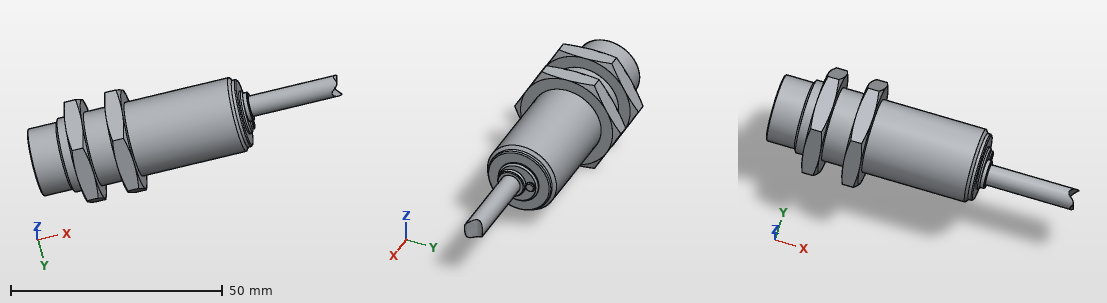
import cadquery as cq
import math

total_length = 74.75
body_diameter = 18.0
nose_diameter = 16.4
nose_length = 7.0
front_bevel_length = 0.5
nose_edge_chamfer = 0.2
rear_bevel_start = 49.4
rear_bevel_length = 0.7
cap_end = 51.1
cap_edge_chamfer = 0.3

disk_diameter = 10.5
disk_end = 51.95
disk_edge_chamfer = 0.45

cable_diameter = 5.0
cable_offset_y = -1.3
collar_diameter = 6.95
collar_end = 53.1
collar_edge_chamfer = 0.2

lamp_diameter = 2.4
lamp_center_y = 3.45
lamp_end = 52.55
lamp_edge_chamfer = 0.2

nut_width = 24.0
nut_thickness = 4.0
nut_starts = (10.0, 19.95)
nut_chamfer_angle = 20.0


def cylinder_x(diameter, start, end, center_y=0.0):
    """Solid cylinder parallel to X."""
    plane = cq.Workplane("YZ", origin=(start, center_y, 0))
    return plane.circle(diameter / 2).extrude(end - start)


def revolve_about_x(points):
    """Solid of revolution from a closed (x, radius) outline."""
    return cq.Workplane("XY").polyline(points).close().revolve(360, (0, 0, 0), (1, 0, 0))


def make_body():
    """Stepped round body with a chamfered rear edge on the cap."""
    body_radius = body_diameter / 2
    nose_radius = nose_diameter / 2
    body = revolve_about_x([
        (0, 0),
        (0, nose_radius - nose_edge_chamfer),
        (nose_edge_chamfer, nose_radius),
        (nose_length, nose_radius),
        (nose_length + front_bevel_length, body_radius),
        (rear_bevel_start, body_radius),
        (rear_bevel_start + rear_bevel_length, nose_radius),
        (cap_end, nose_radius),
        (cap_end, 0),
    ])
    return body.faces(">X").edges().chamfer(cap_edge_chamfer)


def make_nut(start):
    """Hexagon with flats facing +Z and -Z, its corners bevelled on both faces."""
    corner_radius = nut_width / math.sqrt(3)
    face_radius = nut_width / 2
    bevel_depth = (corner_radius - face_radius) * math.tan(math.radians(nut_chamfer_angle))
    end = start + nut_thickness
    hexagon = cq.Workplane("YZ", origin=(start, 0, 0)).polygon(6, 2 * corner_radius).extrude(nut_thickness)
    envelope = revolve_about_x([
        (start, 0),
        (start, face_radius),
        (start + bevel_depth, corner_radius),
        (end - bevel_depth, corner_radius),
        (end, face_radius),
        (end, 0),
    ])
    return hexagon.intersect(envelope)


def make_rear_fittings():
    """Disk, cable collar and lamp, each chamfered at its rear edge."""
    disk = cylinder_x(disk_diameter, cap_end, disk_end).faces(">X").chamfer(disk_edge_chamfer)
    collar = cylinder_x(collar_diameter, cap_end, collar_end, cable_offset_y)
    collar = collar.faces(">X").chamfer(collar_edge_chamfer)
    lamp = cylinder_x(lamp_diameter, cap_end, lamp_end, lamp_center_y)
    lamp = lamp.faces(">X").chamfer(lamp_edge_chamfer)
    return disk.union(collar).union(lamp)


def make_cable():
    """Cable whose free end is a wavy break, constant along Z."""
    radius = cable_diameter / 2
    break_shape = [(0, radius), (1.7, 1.35), (1.95, 0.75), (1.4, -0.2), (0.2, -1.4), (0.8, -radius)]
    break_points = [(total_length - gap, cable_offset_y + y) for gap, y in break_shape]
    outline = (
        cq.Workplane("XY", origin=(0, 0, -radius))
        .moveTo(cap_end, cable_offset_y + radius)
        .lineTo(*break_points[0])
        .spline(break_points[1:], includeCurrent=True)
        .lineTo(cap_end, cable_offset_y - radius)
        .close()
        .extrude(cable_diameter)
    )
    return cylinder_x(cable_diameter, cap_end, total_length, cable_offset_y).intersect(outline)


result = make_body().union(make_rear_fittings()).union(make_cable())
for nut_start in nut_starts:
    result = result.union(make_nut(nut_start))